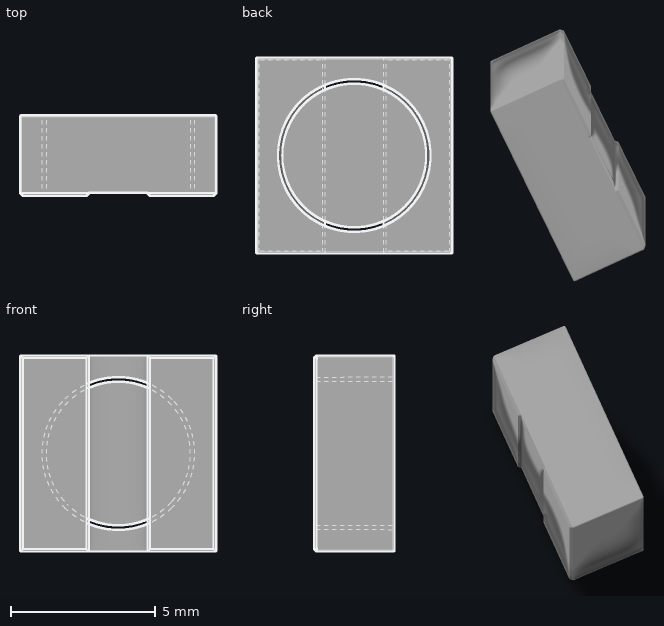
import cadquery as cq

side = 6.8
depth = 2.8

pad_height = 0.1
channel_width = 2.01
pad_chamfer = 0.095
pad_corner_radius = 0.1
pad_width = (side - channel_width) / 2

bore_diameter = 5.29
core_diameter = 4.99

side_corner_radius = 0.055
back_rim_radius = 0.07

front_y = -depth / 2
back_y = depth / 2
body_front_y = front_y + pad_height
body_depth = back_y - body_front_y


def cylinder_along_y(diameter):
    """Cylinder running from the body's front face to its back face."""
    plane = cq.Workplane("XZ", origin=(0, back_y, 0))
    return plane.circle(diameter / 2).extrude(body_depth)


def make_body():
    """Square frame with rounded side corners and back rim, holding the core."""
    block = cq.Workplane("XZ", origin=(0, back_y, 0)).rect(side, side).extrude(body_depth)
    block = block.edges("|Y").fillet(side_corner_radius)
    block = block.faces(">Y").edges().fillet(back_rim_radius)
    gap = cylinder_along_y(bore_diameter).cut(cylinder_along_y(core_diameter))
    return block.cut(gap)


def make_pad(direction):
    """Beveled pad on one side; it bridges the gap and joins core to frame."""
    center_x = direction * (side - pad_width) / 2
    plane = cq.Workplane("XZ", origin=(center_x, body_front_y, 0))
    pad = plane.rect(pad_width, side).extrude(pad_height)
    pad = pad.edges("|Y").fillet(pad_corner_radius)
    return pad.faces("<Y").edges().chamfer(pad_chamfer)


result = make_body()
for direction in (-1, 1):
    result = result.union(make_pad(direction))